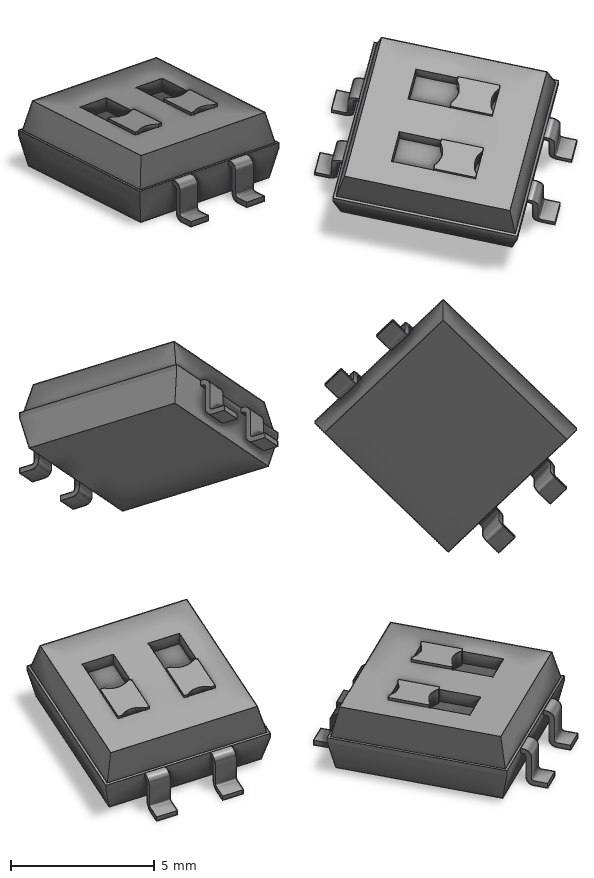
import cadquery as cq

FLANGE_X = 6.61
FLANGE_Y = 6.31
FLANGE_THICKNESS = 0.2
FLANGE_TOP = 1.455
FLANGE_BOTTOM = FLANGE_TOP - FLANGE_THICKNESS

COVER_LEDGE = 0.095
COVER_TOP = 2.6
COVER_INSET = 0.25
BASE_BOTTOM = 0.1
BASE_INSET = 0.24

SWITCH_PITCH = 2.53
SWITCH_ROWS = (-SWITCH_PITCH / 2, SWITCH_PITCH / 2)

POCKET_LENGTH = 3.01
POCKET_WIDTH = 1.2
POCKET_DEPTH = 0.5
POCKET_FLOOR = COVER_TOP - POCKET_DEPTH
SLIDER_TOP = 2.7
SLIDER_LENGTH = POCKET_LENGTH / 2
GRIP_CHORD = 0.895
GRIP_DEPTH = 0.16

LEAD_SPAN = 8.61
LEAD_WIDTH = 0.8
LEAD_THICKNESS = FLANGE_THICKNESS
LEAD_SHANK_X = 3.7
BEND_INNER_RADIUS = 0.1
BEND_OUTER_RADIUS = BEND_INNER_RADIUS + LEAD_THICKNESS


def frustum(size_x, size_y, start_z, end_z, inset):
    """Rectangular block from start_z to end_z whose sides lean in by inset."""
    return (
        cq.Workplane("XY", origin=(0, 0, start_z))
        .rect(size_x, size_y)
        .workplane(offset=end_z - start_z)
        .rect(size_x - 2 * inset, size_y - 2 * inset)
        .loft(ruled=True)
    )


def make_pocket(row_y):
    """Rectangular pocket volume open at the cover top."""
    return (
        cq.Workplane("XY", origin=(0, row_y, POCKET_FLOOR))
        .rect(POCKET_LENGTH, POCKET_WIDTH)
        .extrude(POCKET_DEPTH)
    )


def make_slider(row_y):
    """Slider at the +X end of its pocket, with a concave grip in both ends."""
    half_width = POCKET_WIDTH / 2
    half_chord = GRIP_CHORD / 2
    return (
        cq.Workplane("XY", origin=(0, row_y, POCKET_FLOOR))
        .moveTo(0, -half_width)
        .lineTo(SLIDER_LENGTH, -half_width)
        .lineTo(SLIDER_LENGTH, -half_chord)
        .threePointArc((SLIDER_LENGTH - GRIP_DEPTH, 0), (SLIDER_LENGTH, half_chord))
        .lineTo(SLIDER_LENGTH, half_width)
        .lineTo(0, half_width)
        .lineTo(0, half_chord)
        .threePointArc((GRIP_DEPTH, 0), (0, -half_chord))
        .close()
        .extrude(SLIDER_TOP - POCKET_FLOOR)
    )


def make_housing():
    """Base, flange and cover in one piece, with the pockets and their sliders."""
    flange = (
        cq.Workplane("XY", origin=(0, 0, FLANGE_BOTTOM))
        .rect(FLANGE_X, FLANGE_Y)
        .extrude(FLANGE_THICKNESS)
    )
    cover_x = FLANGE_X - 2 * COVER_LEDGE
    cover_y = FLANGE_Y - 2 * COVER_LEDGE
    cover = frustum(cover_x, cover_y, FLANGE_TOP, COVER_TOP, COVER_INSET)
    base = frustum(FLANGE_X, FLANGE_Y, FLANGE_BOTTOM, BASE_BOTTOM, BASE_INSET)
    housing = flange.union(cover).union(base)
    for row_y in SWITCH_ROWS:
        housing = housing.cut(make_pocket(row_y)).union(make_slider(row_y))
    return housing


def make_lead(row_y):
    """Gull-wing lead on the +X side, butting against the flange edge."""
    flange_edge = FLANGE_X / 2
    tip = LEAD_SPAN / 2
    shank_inner = LEAD_SHANK_X - LEAD_THICKNESS
    profile = (
        cq.Workplane("XZ", origin=(0, row_y, 0))
        .moveTo(flange_edge, FLANGE_TOP)
        .lineTo(LEAD_SHANK_X - BEND_OUTER_RADIUS, FLANGE_TOP)
        .radiusArc((LEAD_SHANK_X, FLANGE_TOP - BEND_OUTER_RADIUS), BEND_OUTER_RADIUS)
        .lineTo(LEAD_SHANK_X, LEAD_THICKNESS + BEND_INNER_RADIUS)
        .radiusArc((LEAD_SHANK_X + BEND_INNER_RADIUS, LEAD_THICKNESS), -BEND_INNER_RADIUS)
        .lineTo(tip, LEAD_THICKNESS)
        .lineTo(tip, 0)
        .lineTo(shank_inner + BEND_OUTER_RADIUS, 0)
        .radiusArc((shank_inner, BEND_OUTER_RADIUS), BEND_OUTER_RADIUS)
        .lineTo(shank_inner, FLANGE_BOTTOM - BEND_INNER_RADIUS)
        .radiusArc((shank_inner - BEND_INNER_RADIUS, FLANGE_BOTTOM), -BEND_INNER_RADIUS)
        .lineTo(flange_edge, FLANGE_BOTTOM)
        .close()
    )
    return profile.extrude(LEAD_WIDTH / 2, both=True)


housing = make_housing()

leads = []
for row_y in SWITCH_ROWS:
    right_lead = make_lead(row_y)
    left_lead = right_lead.mirror("YZ")
    leads += [right_lead.val(), left_lead.val()]

result = cq.Compound.makeCompound([housing.val(), *leads])